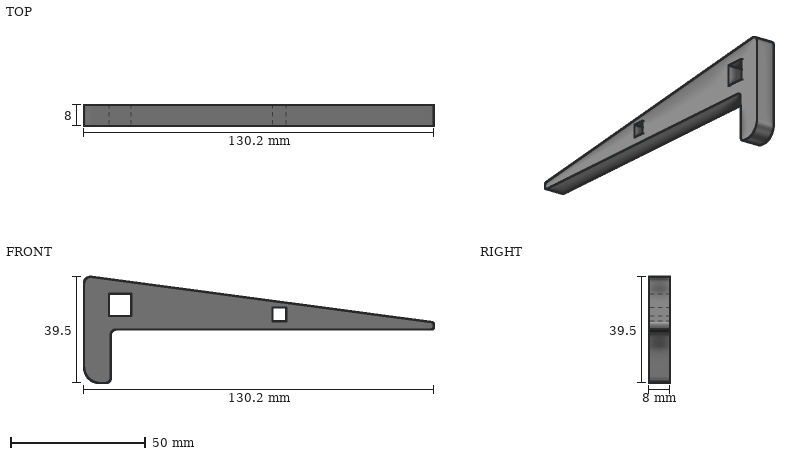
import cadquery as cq

length = 130.2
thickness = 8.0
leg_width = 10.0
leg_drop = 19.9
root_height = 20.0
tip_height = 2.7

heel_radius = 2.5
foot_back_radius = 6.0
foot_front_radius = 2.0
inner_radius = 2.0
tip_radius = 1.0

large_hole = (8.2, 9.4, 5.1)
small_hole = (5.1, 70.2, 3.1)


def bracket_body():
    """L-shaped plate with a tapering arm; the arm underside lies on Z = 0."""
    body = (
        cq.Workplane("XZ")
        .moveTo(0, -leg_drop)
        .lineTo(leg_width, -leg_drop)
        .lineTo(leg_width, 0)
        .lineTo(length, 0)
        .lineTo(length, tip_height)
        .lineTo(0, root_height)
        .close()
        .extrude(thickness / 2, both=True)
    )
    rounded_corners = [
        (0, -leg_drop, foot_back_radius),
        (leg_width, -leg_drop, foot_front_radius),
        (leg_width, 0, inner_radius),
        (length, 0, tip_radius),
        (length, tip_height, tip_radius),
        (0, root_height, heel_radius),
    ]
    for x, z, radius in rounded_corners:
        corner_edge = cq.selectors.NearestToPointSelector((x, 0, z))
        body = body.edges("|Y").edges(corner_edge).fillet(radius)
    return body


def square_hole(size, left, bottom):
    """Square cutter running through the full thickness."""
    return (
        cq.Workplane("XZ")
        .center(left + size / 2, bottom + size / 2)
        .rect(size, size)
        .extrude(thickness, both=True)
    )


result = bracket_body()
for hole in (large_hole, small_hole):
    result = result.cut(square_hole(*hole))